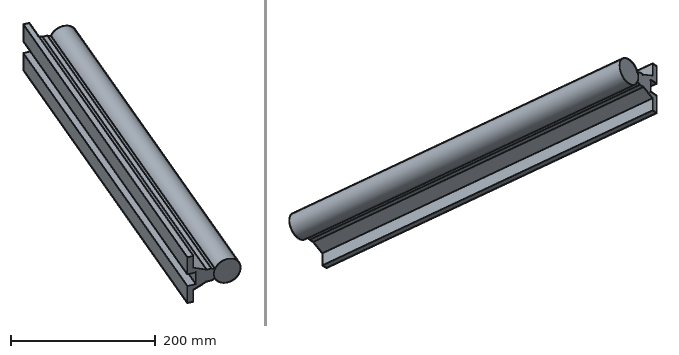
import cadquery as cq
import math

rail_length = 600.0
total_depth = 80.0
shaft_diameter = 40.0
shaft_radius = shaft_diameter / 2
shaft_center_y = total_depth - shaft_radius

base_width = 78.0
flange_thickness = 9.0
slot_width = 20.0
slot_depth = 12.5
neck_width = 20.5
neck_start_y = 29.0
neck_end_y = 36.0
tip_slope = math.radians(20)
slope_base_width = 38.0

tip_width = neck_width - 2 * (shaft_center_y - neck_end_y) * math.tan(tip_slope)


def make_shaft():
    """Round shaft carried by the support."""
    return (
        cq.Workplane("YZ")
        .center(shaft_center_y, 0)
        .circle(shaft_radius)
        .extrude(rail_length)
    )


def make_support(shaft):
    """Slotted base with flanges, tapering to a neck that cradles the shaft."""
    upper_outline = [
        (slot_depth, 0),
        (slot_depth, slot_width / 2),
        (0, slot_width / 2),
        (0, base_width / 2),
        (flange_thickness, base_width / 2),
        (flange_thickness, slope_base_width / 2),
        (neck_start_y, neck_width / 2),
        (neck_end_y, neck_width / 2),
        (shaft_center_y, tip_width / 2),
    ]
    lower_outline = [(y, -z) for y, z in reversed(upper_outline[1:])]
    blank = cq.Workplane("YZ").polyline(upper_outline + lower_outline).close().extrude(rail_length)
    return blank.cut(shaft)


shaft = make_shaft()
support = make_support(shaft)

result = cq.Compound.makeCompound([shaft.val(), support.val()])